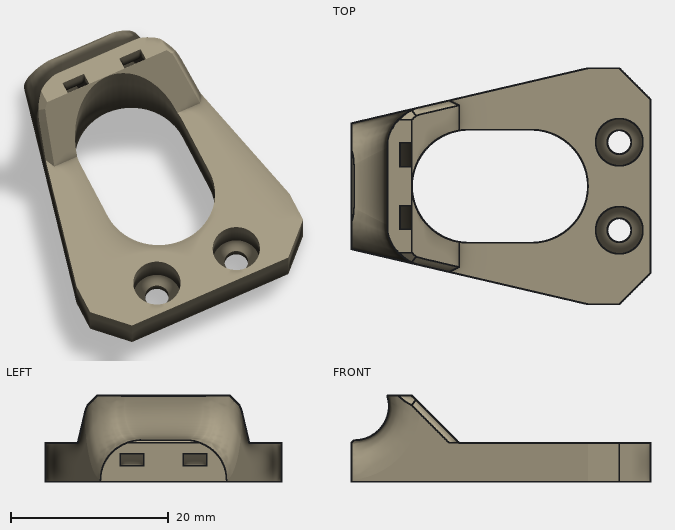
import cadquery as cq

length = 38.0
width = 30.0
narrow_width = 16.0
thickness = 4.98
corner_cut = 4.0
taper_length = length - 2 * corner_cut

height = 11.0
ridge_back_x = 7.68
slope_foot_x = ridge_back_x + height - thickness
ridge_edge_chamfer = 0.9
ridge_top_width = 16.85
ridge_top_bevel = 2.0

scoop_x = 0.45
scoop_z = 9.6
scoop_radius = 4.3
scoop_side_fillet = 5.15
lip_size = 0.25
lip_reach = 2 * lip_size
lip_top_x = 4.65

window_start_x = 7.7
window_end_x = 30.02
window_width = 14.33

screw_x = length - corner_cut
screw_y = 5.6
screw_diameter = 3.0
counterbore_diameter = 6.0
counterbore_depth = 4.0

slot_center_z = 9.8
slot_inner_radius = 6.25
slot_outer_radius = 7.75
slot_width = 3.0
slot_y = 4.0


def along_y(profile, depth):
    """Extrude an XZ profile symmetrically about the XZ plane."""
    return profile.extrude(depth / 2, both=True)


def tapered_body():
    outline = [
        (0, narrow_width / 2),
        (taper_length, width / 2),
        (length - corner_cut, width / 2),
        (length, width / 2 - corner_cut),
    ]
    mirrored = [(x, -y) for x, y in reversed(outline)]
    body = cq.Workplane("XY").polyline(outline + mirrored).close().extrude(height)
    above_slope = (
        cq.Workplane("XZ")
        .moveTo(ridge_back_x, height)
        .lineTo(slope_foot_x, thickness)
        .lineTo(length, thickness)
        .lineTo(length, height)
        .close()
    )
    return body.cut(along_y(above_slope, width))


def scooped_ridge(body):
    scoop = along_y(cq.Workplane("XZ").center(scoop_x, scoop_z).circle(scoop_radius), width)
    corner = cq.Workplane("XY").box(scoop_x, width, height, centered=(False, True, False))
    corner = corner.translate((0, 0, scoop_z))
    body = body.cut(scoop).cut(corner)

    scoop_edges = cq.selectors.BoxSelector(
        (scoop_x, -width, scoop_z - scoop_radius),
        (scoop_x + scoop_radius, width, height - lip_size),
    )
    body = body.edges(scoop_edges).edges("not |Y").edges("not |Z").fillet(scoop_side_fillet)

    slope_face = cq.selectors.BoxSelector(
        (ridge_back_x, -width, thickness + lip_size),
        (slope_foot_x, width, height - lip_size),
    )
    return body.faces(slope_face).edges("not |Y").chamfer(ridge_edge_chamfer)


def lip(x, z):
    """Triangular prism that bevels the sharp scoop edge at (x, z)."""
    profile = (
        cq.Workplane("XZ")
        .moveTo(x, z)
        .lineTo(x, z + lip_reach)
        .lineTo(x + lip_reach, z + lip_reach)
        .close()
    )
    return along_y(profile, width)


def ridge_top_corner(side):
    """Prism along X that bevels one end of the ridge top at 45 degrees."""
    inner_y = side * ridge_top_width / 2
    outer_y = inner_y + side * ridge_top_bevel
    return (
        cq.Workplane("YZ")
        .moveTo(inner_y, height)
        .lineTo(outer_y, height)
        .lineTo(outer_y, height - ridge_top_bevel)
        .close()
        .extrude(slope_foot_x)
    )


def window():
    return (
        cq.Workplane("XY")
        .center((window_start_x + window_end_x) / 2, 0)
        .slot2D(window_end_x - window_start_x, window_width)
        .extrude(height)
    )


def tie_slot(y):
    ring = (
        cq.Workplane("XZ")
        .center(0, slot_center_z)
        .circle(slot_outer_radius)
        .circle(slot_inner_radius)
    )
    return along_y(ring, slot_width).translate((0, y, 0))


result = scooped_ridge(tapered_body())
result = result.cut(window())
for side in (-1, 1):
    result = result.cut(tie_slot(side * slot_y))
    result = result.cut(ridge_top_corner(side))
result = (
    result.cut(lip(0, thickness))
    .cut(lip(lip_top_x - lip_size, height - lip_size))
    .copyWorkplane(cq.Workplane("XY", origin=(0, 0, thickness)))
    .pushPoints([(screw_x, -screw_y), (screw_x, screw_y)])
    .cboreHole(screw_diameter, counterbore_diameter, counterbore_depth)
)